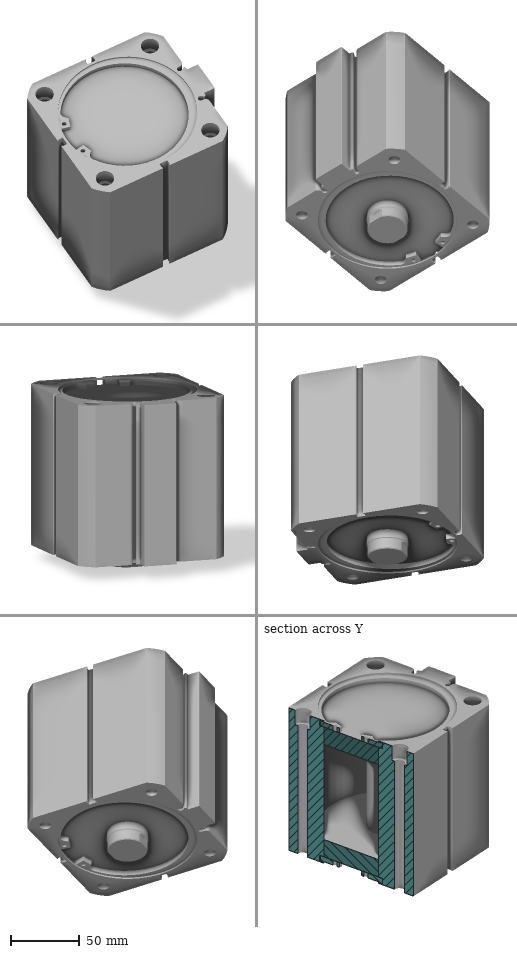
import cadquery as cq
import math


block_size = 115.0
half_block = block_size / 2
block_height = 120.0
corner_cut = 10.0
corner_radius = 40.0

lug_width = 25.0
lug_projection = 9.2
lug_edge_radius = 0.5
lug_top = half_block + lug_projection
lug_embed = 4.5
lug_root = half_block - lug_embed

keyhole_x = 15.5
keyhole_y = 52.8
keyhole_radius = 2.0
lip_radius = 1.25
lip_center_y = half_block - lip_radius
lip_tip_x = 15.3
mouth_radius = 3.2

slot_width = 6.6
slot_depth = 4.7
slot_mouth_width = 5.0
slot_lip = 0.8
slot_mouth_chamfer = 0.4

hole_pitch = 89.0
hole_diameter = 8.6
counterbore_diameter = 13.4
counterbore_depth = 12.0

bore_radius = 51.0
groove_radius = 53.0
ring_inset = 1.25
ring_thickness = 4.0
cover_thickness = 15.0
cover_inset = ring_inset + ring_thickness

ring_inner_radius = 47.0
ring_eccentricity = 2.5
gap_half_angle = 12.7
eyelet_outer_angle = 23.2
eyelet_flank_angle = 25.2
eyelet_inner_radius = 43.5
eyelet_flank_radius = 47.3
eyelet_flank_extension = 2.2
eyelet_root_radius = 4.0
root_radius_from_axis = 48.8
root_angle = 27.0
root_reach = 3.0
eyelet_hole_radius_from_axis = 47.4
eyelet_hole_angle = 17.35
eyelet_hole_diameter = 3.5
ring_turn = -0.7

rod_radius = 15.25
rod_end_radius = 14.8
rod_projection = 10.0
shoulder_projection = 1.0
shoulder_chamfer = rod_radius - rod_end_radius
rod_end_chamfer = 0.6
flat_half_width = 13.5
flat_start = 2.8


def polar(radius, angle):
    """Point at an angle in degrees measured from -Y towards +X."""
    a = math.radians(angle)
    return (radius * math.sin(a), -radius * math.cos(a))


def make_block():
    sagitta = corner_radius - math.sqrt(corner_radius**2 - corner_cut**2 / 2)
    straight_end = half_block - corner_cut
    mid = half_block - corner_cut / 2 + sagitta / math.sqrt(2)
    return (
        cq.Workplane("XY")
        .moveTo(-straight_end, -half_block)
        .lineTo(straight_end, -half_block)
        .threePointArc((mid, -mid), (half_block, -straight_end))
        .lineTo(half_block, straight_end)
        .threePointArc((mid, mid), (straight_end, half_block))
        .lineTo(-straight_end, half_block)
        .threePointArc((-mid, mid), (-half_block, straight_end))
        .lineTo(-half_block, -straight_end)
        .threePointArc((-mid, -mid), (-straight_end, -half_block))
        .close()
        .extrude(block_height)
    )


def make_port_lug():
    return (
        cq.Workplane("XY")
        .box(lug_width, lug_top - lug_root, block_height, centered=(True, False, False))
        .translate((0, lug_root, 0))
        .edges("|Z and >Y")
        .fillet(lug_edge_radius)
    )


def make_keyhole_groove():
    """Round channel on the +X side of the lug, open to +Y past a rounded lip."""
    outer_x = keyhole_x + keyhole_radius
    mouth_x = outer_x + mouth_radius
    mouth_start_y = half_block - mouth_radius
    throat = mouth_radius * (1 - math.sqrt(0.5))
    lip_center_x = lip_tip_x - lip_radius
    channel = (
        cq.Workplane("XY").center(keyhole_x, keyhole_y).circle(keyhole_radius).extrude(block_height)
    )
    mouth = (
        cq.Workplane("XY")
        .moveTo(lip_center_x, half_block)
        .threePointArc((lip_tip_x, lip_center_y), (lip_center_x, lip_center_y - lip_radius))
        .lineTo(keyhole_x, keyhole_y)
        .lineTo(outer_x, keyhole_y)
        .lineTo(outer_x, mouth_start_y)
        .threePointArc((outer_x + throat, half_block - throat), (mouth_x, half_block))
        .close()
        .extrude(block_height)
    )
    return channel.union(mouth)


def make_sensor_slot():
    """Slot in the -Y side, wider behind the chamfered lips of its mouth."""
    inner_half = slot_mouth_width / 2
    outer_half = inner_half + slot_mouth_chamfer
    mouth = (
        cq.Workplane("XY")
        .moveTo(-outer_half, 0)
        .lineTo(outer_half, 0)
        .lineTo(inner_half, slot_mouth_chamfer)
        .lineTo(inner_half, slot_depth)
        .lineTo(-inner_half, slot_depth)
        .lineTo(-inner_half, slot_mouth_chamfer)
        .close()
        .extrude(block_height)
    )
    inside = (
        cq.Workplane("XY")
        .box(slot_width, slot_depth - slot_lip, block_height, centered=(True, False, False))
        .translate((0, slot_lip, 0))
    )
    return mouth.union(inside).translate((0, -half_block, 0))


def make_housing():
    body = make_block().union(make_port_lug())
    groove = make_keyhole_groove()
    body = body.cut(groove).cut(groove.mirror("YZ"))
    for angle in (0, 90, -90):
        body = body.cut(make_sensor_slot().rotate((0, 0, 0), (0, 0, 1), angle))
    body = body.cut(cq.Workplane("XY").circle(bore_radius).extrude(block_height))
    for z in (ring_inset, block_height - cover_inset):
        body = body.cut(cq.Workplane("XY", origin=(0, 0, z)).circle(groove_radius).extrude(ring_thickness))
    return (
        body.faces(">Z")
        .workplane(origin=(0, 0, block_height))
        .rect(hole_pitch, hole_pitch, forConstruction=True)
        .vertices()
        .cboreHole(hole_diameter, counterbore_diameter, counterbore_depth)
    )


def make_eyelet():
    """Eyelet on the +X side of the ring gap."""
    tip = polar(eyelet_inner_radius, eyelet_outer_angle)
    flank = polar(eyelet_flank_radius, eyelet_flank_angle)
    root = tuple(t + eyelet_flank_extension * (f - t) for t, f in zip(tip, flank))
    gap_inner = polar(eyelet_inner_radius, gap_half_angle)
    gap_outer = polar(bore_radius, gap_half_angle)
    return (
        cq.Workplane("XY")
        .polyline([gap_inner, tip, root, gap_outer])
        .close()
        .extrude(ring_thickness)
    )


def make_retaining_ring(z):
    ring = cq.Workplane("XY").circle(groove_radius).extrude(ring_thickness)
    opening = (
        cq.Workplane("XY").center(0, -ring_eccentricity).circle(ring_inner_radius).extrude(ring_thickness)
    )
    gap = (
        cq.Workplane("XY")
        .polyline([(0, 0), polar(2 * bore_radius, -gap_half_angle), polar(2 * bore_radius, gap_half_angle)])
        .close()
        .extrude(ring_thickness)
    )
    eyelet = make_eyelet()
    ring = ring.cut(opening).cut(gap).union(eyelet).union(eyelet.mirror("YZ"))
    for side in (1, -1):
        x, y = polar(root_radius_from_axis, side * root_angle)
        low = (x - root_reach, y - root_reach, -ring_thickness)
        high = (x + root_reach, y + root_reach, 2 * ring_thickness)
        root_edge = cq.selectors.BoxSelector(low, high)
        ring = ring.edges("|Z").edges(root_edge).fillet(eyelet_root_radius)
    hole_points = [polar(eyelet_hole_radius_from_axis, side * eyelet_hole_angle) for side in (1, -1)]
    holes = cq.Workplane("XY").pushPoints(hole_points).circle(eyelet_hole_diameter / 2)
    holes = holes.extrude(ring_thickness)
    return ring.cut(holes).rotate((0, 0, 0), (0, 0, 1), ring_turn).translate((0, 0, z))


def make_rear_cover():
    z = block_height - cover_inset - cover_thickness
    return cq.Workplane("XY", origin=(0, 0, z)).circle(bore_radius).extrude(cover_thickness)


def make_front_cover():
    cover = cq.Workplane("XY", origin=(0, 0, cover_inset)).circle(bore_radius).circle(rod_radius)
    return cover.extrude(cover_thickness)


def make_rod():
    top = block_height - cover_inset - cover_thickness
    rod = (
        cq.Workplane("XZ")
        .polyline(
            [
                (0, top),
                (rod_radius, top),
                (rod_radius, -shoulder_projection),
                (rod_end_radius, -shoulder_projection - shoulder_chamfer),
                (rod_end_radius, -rod_projection + rod_end_chamfer),
                (rod_end_radius - rod_end_chamfer, -rod_projection),
                (0, -rod_projection),
            ]
        )
        .close()
        .revolve(360, (0, 0), (0, 1))
    )
    flat_depth = rod_end_radius - flat_half_width
    flat_cut = (
        cq.Workplane("YZ")
        .polyline(
            [
                (rod_end_radius, -flat_start + flat_depth),
                (flat_half_width, -flat_start),
                (flat_half_width, -rod_projection),
                (2 * rod_end_radius, -rod_projection),
                (2 * rod_end_radius, -flat_start + flat_depth),
            ]
        )
        .close()
        .extrude(rod_end_radius, both=True)
    )
    return rod.cut(flat_cut).cut(flat_cut.mirror("XZ"))


housing = make_housing()
front_cover = make_front_cover()
rear_cover = make_rear_cover()
front_ring = make_retaining_ring(ring_inset)
rear_ring = make_retaining_ring(block_height - cover_inset)
rod = make_rod()

result = cq.Compound.makeCompound(
    [body.val() for body in (housing, front_cover, rear_cover, front_ring, rear_ring, rod)]
)